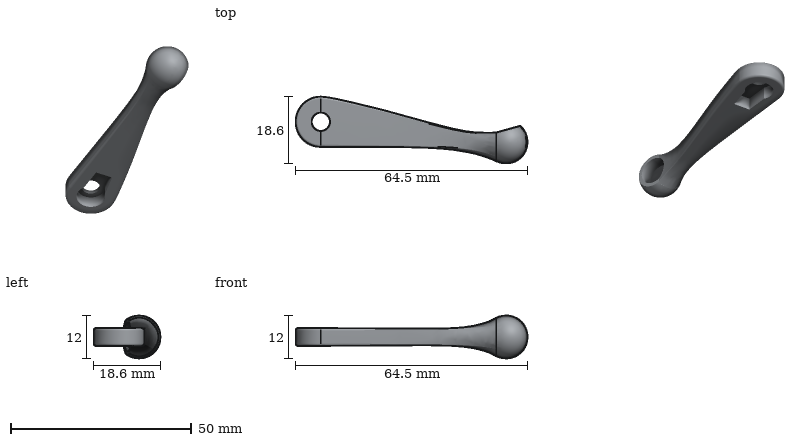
import cadquery as cq
import math

LENGTH = 64.45
EYE_RADIUS = 7.0
THICKNESS = 5.0
PIVOT_HOLE_DIAMETER = 5.0
EDGE_ROUND = 0.7

RECESS_DIAMETER = 8.0
RECESS_ROOF = 1.2
RECESS_DEPTH = THICKNESS - RECESS_ROOF
SLOT_HALF_WIDTH = 3.15
SLOT_REACH = 9.0
SLOT_SIDE_ANGLE = 6.2

BALL_RADIUS = 6.0
BALL_X = LENGTH - EYE_RADIUS - BALL_RADIUS
BALL_Y = -5.6

FLAT_TILT = 15.5
FLAT_OFFSET = 3.3
SOCKET_DIAMETER = 8.0
SOCKET_DEPTH = 4.0

SEAM_OFFSET = 2.7
ARM_LENGTH = BALL_X - SEAM_OFFSET
SEAM_RADIUS = math.sqrt(BALL_RADIUS**2 - SEAM_OFFSET**2)
SEAM_FLAT_Y = (
    BALL_Y
    + FLAT_OFFSET / math.cos(math.radians(FLAT_TILT))
    - SEAM_OFFSET * math.tan(math.radians(FLAT_TILT))
)

SEAM_CORNER_Z = 3.4
SEAM_ROUND = 0.1
SEAM_UPPER_Z = math.sqrt(SEAM_RADIUS**2 - (SEAM_FLAT_Y - BALL_Y) ** 2)
SEAM_CORNER_Y = BALL_Y - math.sqrt(SEAM_RADIUS**2 - SEAM_CORNER_Z**2)
SEAM_CROWN_Y = (SEAM_FLAT_Y + SEAM_CORNER_Y) / 2
SEAM_CROWN_Z = math.sqrt(SEAM_RADIUS**2 - (SEAM_CROWN_Y - BALL_Y) ** 2)

WAIST_TAPER = 0.3
LEAST_BULGE = 0.01

CROWN_FLARE = 9.0
SIDE_FLARE = 5.6
SIDE_CORNER_FLARE = 7.0

UPPER_EDGE = [EYE_RADIUS, 6.0, 4.6, 3.0, 1.35, -0.3, -1.9, -2.9, SEAM_FLAT_Y]


def flare(start, end, along, power):
    """Value that stays near start along the arm and sweeps to end at the ball."""
    return start + (end - start) * along**power


def arm_section(along, upper_y):
    """Cross-section of the arm: a rounded rectangle that swells into a clipped circle."""
    waist = THICKNESS / 2 - WAIST_TAPER * along
    lower_y = flare(-EYE_RADIUS, BALL_Y - SEAM_RADIUS, along, SIDE_FLARE)
    corner_y = flare(-EYE_RADIUS, SEAM_CORNER_Y, along, SIDE_CORNER_FLARE)
    upper_z = flare(waist, SEAM_UPPER_Z, along, CROWN_FLARE)
    crown_z = flare(waist, SEAM_CROWN_Z, along, CROWN_FLARE)
    corner_z = flare(waist, SEAM_CORNER_Z, along, CROWN_FLARE)
    crown_y = (upper_y + corner_y) / 2
    edge = EDGE_ROUND + (SEAM_ROUND - EDGE_ROUND) * along
    inset = edge * (1 - math.sqrt(0.5))

    crown_z = max(crown_z, upper_z + LEAST_BULGE)
    lower_y = min(lower_y, corner_y - LEAST_BULGE)

    return (
        cq.Workplane("YZ", origin=(along * ARM_LENGTH, 0, 0))
        .moveTo(upper_y - edge, upper_z)
        .threePointArc((crown_y, crown_z), (corner_y + edge, corner_z))
        .threePointArc((corner_y + inset, corner_z - inset), (corner_y, corner_z - edge))
        .threePointArc((lower_y, 0), (corner_y, edge - corner_z))
        .threePointArc((corner_y + inset, inset - corner_z), (corner_y + edge, -corner_z))
        .threePointArc((crown_y, -crown_z), (upper_y - edge, -upper_z))
        .threePointArc((upper_y - inset, inset - upper_z), (upper_y, edge - upper_z))
        .lineTo(upper_y, upper_z - edge)
        .threePointArc((upper_y - inset, upper_z - inset), (upper_y - edge, upper_z))
        .close()
        .wires()
        .val()
    )


def make_arm():
    spans = len(UPPER_EDGE) - 1
    sections = [arm_section(station / spans, upper_y) for station, upper_y in enumerate(UPPER_EDGE)]
    return cq.Workplane(cq.Solid.makeLoft(sections))


def make_eye():
    """Half disc with rounded rims, ending flush with the start of the arm."""
    disc = cq.Workplane("XY", origin=(0, 0, -THICKNESS / 2)).circle(EYE_RADIUS).extrude(THICKNESS)
    arm_side = cq.Workplane("YZ").rect(3 * EYE_RADIUS, 2 * THICKNESS).extrude(2 * EYE_RADIUS)
    return disc.edges().fillet(EDGE_ROUND).cut(arm_side)


def flat_plane():
    """Plane of the ball flat, its normal pointing out of the material."""
    tilt = math.radians(FLAT_TILT)
    normal = (-math.sin(tilt), math.cos(tilt), 0)
    origin = (BALL_X + FLAT_OFFSET * normal[0], BALL_Y + FLAT_OFFSET * normal[1], 0)
    return cq.Plane(origin=origin, xDir=(0, 0, 1), normal=normal)


def make_ball():
    ball = cq.Workplane("XY").sphere(BALL_RADIUS).translate((BALL_X, BALL_Y, 0))
    size = 2 * BALL_RADIUS
    beyond_flat = cq.Workplane(flat_plane()).rect(2 * size, 2 * size).extrude(size)
    inside_arm = cq.Workplane("YZ", origin=(ARM_LENGTH, 0, 0)).rect(4 * size, size).extrude(-size)
    return ball.cut(beyond_flat).cut(inside_arm)


def make_socket():
    """Round cutter that also clears the neck material standing above the flat."""
    bottom = cq.Workplane(flat_plane()).workplane(offset=-SOCKET_DEPTH)
    return bottom.circle(SOCKET_DIAMETER / 2).extrude(2 * SOCKET_DEPTH)


def make_pivot_hole():
    return cq.Workplane("XY").circle(PIVOT_HOLE_DIAMETER / 2).extrude(THICKNESS, both=True)


def make_recess():
    """Cutter for the keyhole recess, starting below the underside and stopping at its roof."""
    start = cq.Workplane("XY", origin=(0, 0, -THICKNESS))
    height = RECESS_DEPTH + THICKNESS / 2
    pocket = start.circle(RECESS_DIAMETER / 2).extrude(height)
    rim_x = math.sqrt((RECESS_DIAMETER / 2) ** 2 - SLOT_HALF_WIDTH**2)
    taper = math.tan(math.radians(SLOT_SIDE_ANGLE))
    root_y = SLOT_HALF_WIDTH + rim_x * taper
    end_y = SLOT_HALF_WIDTH - (SLOT_REACH - rim_x) * taper
    slot = start.polyline([(0, root_y), (SLOT_REACH, end_y), (SLOT_REACH, -end_y), (0, -root_y)])
    slot = slot.close().extrude(height)
    toward_ball = math.degrees(math.atan2(BALL_Y, BALL_X))
    return pocket.union(slot).rotate((0, 0, 0), (0, 0, 1), toward_ball)


lever = make_eye().union(make_arm()).union(make_ball())
result = lever.cut(make_socket()).cut(make_pivot_hole()).cut(make_recess())